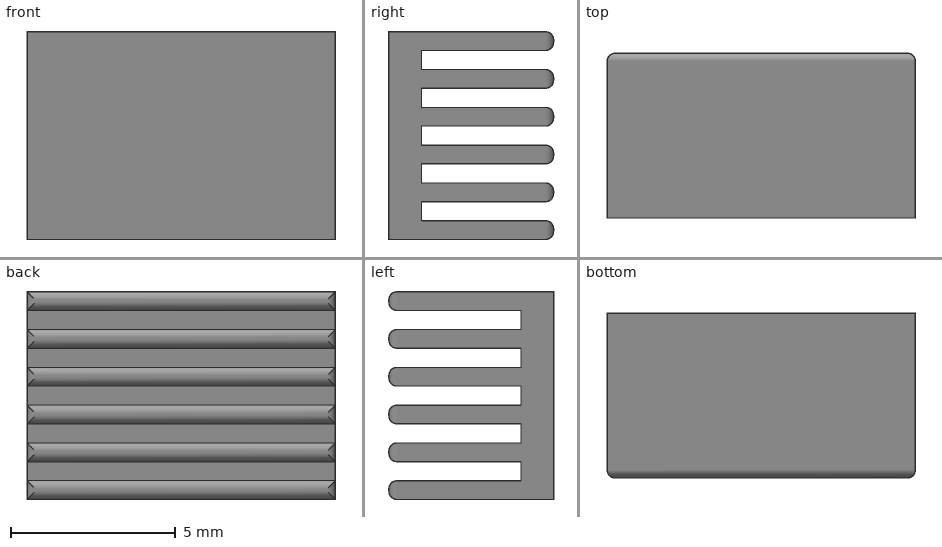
import cadquery as cq

length = 9.35
depth = 5.0
height = 6.3

base_thickness = 1.0
fin_count = 6
fin_thickness = height / (2 * fin_count - 1)
fin_pitch = 2 * fin_thickness
tip_radius = 0.25


def make_base():
    """Flat plate on the -Y side that carries the fins."""
    return cq.Workplane("XY").box(length, base_thickness, height, centered=(True, False, False))


def make_fin(bottom):
    """Horizontal fin reaching to +Y, with every edge of its tip face rounded."""
    fin = cq.Workplane("XY").box(length, depth, fin_thickness, centered=(True, False, False))
    return fin.faces(">Y").edges().fillet(tip_radius).translate((0, 0, bottom))


result = make_base()
for index in range(fin_count):
    result = result.union(make_fin(index * fin_pitch))